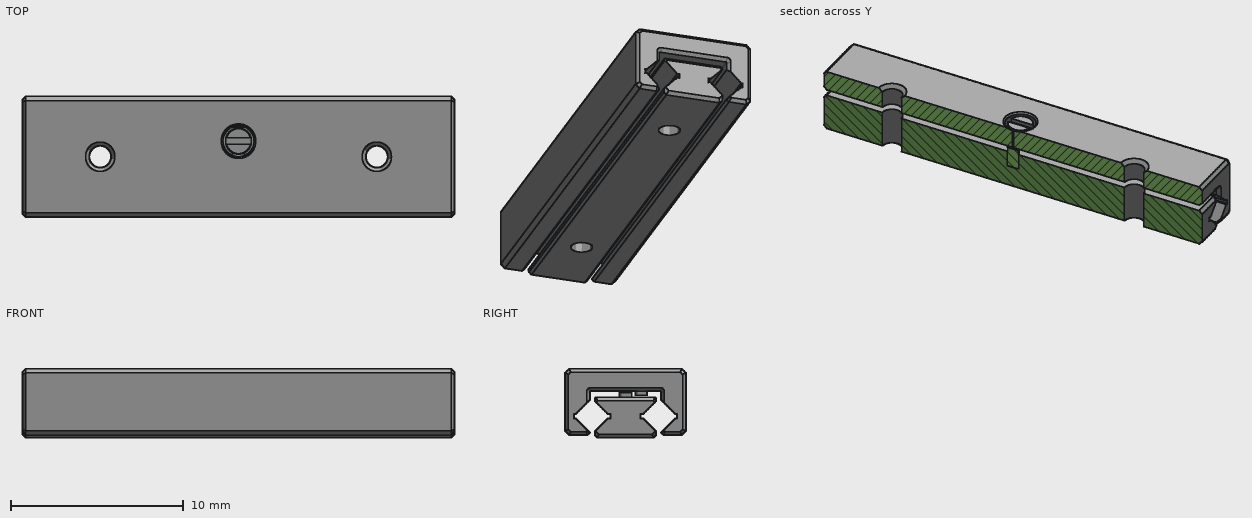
import cadquery as cq

LENGTH = 25
WIDTH = 7
HEIGHT = 4
END_CHAMFER = 0.2

HOUSING_BOTTOM = 0.15
CHANNEL_WIDTH = 4.1
CHANNEL_TOP = 2.7
CHANNEL_FILLET = 0.05
HOUSING_EDGE_CHAMFER = 0.25
LIP_CHAMFER = 0.15

SLIDER_WIDTH = 3.55
SLIDER_HEIGHT = 2.35
SLIDER_TOP_CHAMFER = 0.08
SLIDER_BOTTOM_CHAMFER = 0.15

TRACK_Z = 1.25
ROOT_HEIGHT = 0.25
HOUSING_APEX_Y = 3
HOUSING_ROOT_Y = 2.98
SLIDER_APEX_Y = 0.9
SLIDER_ROOT_Y = 0.88

MOUNT_X = 8
MOUNT_DIAMETER = 1.25
MOUNT_RIM_DIAMETER = 1.7

SCREW_Y = 0.9
SCREW_HOLE_DIAMETER = 1.8
SCREW_RIM_DIAMETER = 2
SCREW_DIAMETER = 1.5
SCREW_CHAMFER = 0.02
SCREW_TOP = 3.88
SCREW_TIP_DIAMETER = 0.7
SCREW_TIP_BOTTOM = 2.45
SCREW_SLOT_WIDTH = 0.38
SCREW_SLOT_DEPTH = 0.25

PIN_DIAMETER = 0.75
PIN_TOP = 2.62
PIN_DEPTH = 1


def bar(width, bottom, top):
    """Rectangular bar over the full length."""
    height = top - bottom
    return cq.Workplane("XY").box(LENGTH, width, height).translate((0, 0, bottom + height / 2))


def cylinder(x, y, bottom, top, diameter):
    return cq.Workplane("XY", origin=(x, y, bottom)).circle(diameter / 2).extrude(top - bottom)


def rim_chamfer(x, y, rim_diameter, hole_diameter):
    """45 degree conical chamfer at a hole's mouth in the housing top."""
    depth = (rim_diameter - hole_diameter) / 2
    mouth = cq.Workplane("XY", origin=(x, y, HEIGHT)).circle(rim_diameter / 2)
    return mouth.workplane(offset=-depth).circle(hole_diameter / 2).loft()


def roller_tracks(apex_y, root_y, open_y):
    """Mirrored pair of V cutters running from the relief root to the open side."""
    half_root = ROOT_HEIGHT / 2
    half_mouth = abs(open_y - apex_y)
    toward_open = 1 if open_y > apex_y else -1
    neck_y = apex_y + toward_open * half_root
    outline = [
        (root_y, TRACK_Z - half_root),
        (neck_y, TRACK_Z - half_root),
        (open_y, TRACK_Z - half_mouth),
        (open_y, TRACK_Z + half_mouth),
        (neck_y, TRACK_Z + half_root),
        (root_y, TRACK_Z + half_root),
    ]
    track = cq.Workplane("YZ").polyline(outline).close().extrude(LENGTH / 2, both=True)
    return track.union(track.mirror("XZ"))


def mount_hole(x):
    return cylinder(x, 0, 0, HEIGHT, MOUNT_DIAMETER)


def make_housing():
    body = bar(WIDTH, HOUSING_BOTTOM, HEIGHT).edges("|X").chamfer(HOUSING_EDGE_CHAMFER)
    channel = bar(CHANNEL_WIDTH, HOUSING_BOTTOM, CHANNEL_TOP)
    channel = channel.faces(">Z").edges("|X").fillet(CHANNEL_FILLET)
    body = body.cut(channel)
    body = body.faces("<Z").edges("|X").edges("not (<Y or >Y)").chamfer(LIP_CHAMFER)
    body = body.faces("<X or >X").edges().chamfer(END_CHAMFER)
    body = body.cut(roller_tracks(HOUSING_APEX_Y, HOUSING_ROOT_Y, CHANNEL_WIDTH / 2))
    for x in (-MOUNT_X, MOUNT_X):
        body = body.cut(mount_hole(x))
        body = body.cut(rim_chamfer(x, 0, MOUNT_RIM_DIAMETER, MOUNT_DIAMETER))
    body = body.cut(cylinder(0, SCREW_Y, CHANNEL_TOP, HEIGHT, SCREW_HOLE_DIAMETER))
    return body.cut(rim_chamfer(0, SCREW_Y, SCREW_RIM_DIAMETER, SCREW_HOLE_DIAMETER))


def make_slider():
    body = bar(SLIDER_WIDTH, 0, SLIDER_HEIGHT)
    body = body.faces("<Z").edges("|X").chamfer(SLIDER_BOTTOM_CHAMFER)
    body = body.faces(">Z").edges("|X").chamfer(SLIDER_TOP_CHAMFER)
    body = body.faces("<X or >X").edges("not |Z").chamfer(END_CHAMFER)
    body = body.cut(roller_tracks(SLIDER_APEX_Y, SLIDER_ROOT_Y, SLIDER_WIDTH / 2))
    for x in (-MOUNT_X, MOUNT_X):
        body = body.cut(mount_hole(x))
    return body.cut(cylinder(0, 0, SLIDER_HEIGHT - PIN_DEPTH, SLIDER_HEIGHT, PIN_DIAMETER))


def make_screw():
    body = cylinder(0, SCREW_Y, CHANNEL_TOP, SCREW_TOP, SCREW_DIAMETER)
    body = body.faces(">Z").edges().chamfer(SCREW_CHAMFER)
    body = body.union(cylinder(0, SCREW_Y, SCREW_TIP_BOTTOM, CHANNEL_TOP, SCREW_TIP_DIAMETER))
    slot = cq.Workplane("XY").box(SCREW_DIAMETER, SCREW_SLOT_WIDTH, SCREW_SLOT_DEPTH)
    return body.cut(slot.translate((0, SCREW_Y, SCREW_TOP - SCREW_SLOT_DEPTH / 2)))


def make_pin():
    return cylinder(0, 0, SLIDER_HEIGHT - PIN_DEPTH, PIN_TOP, PIN_DIAMETER)


housing = make_housing()
slider = make_slider()
screw = make_screw()
pin = make_pin()

result = cq.Compound.makeCompound([housing.val(), slider.val(), screw.val(), pin.val()])